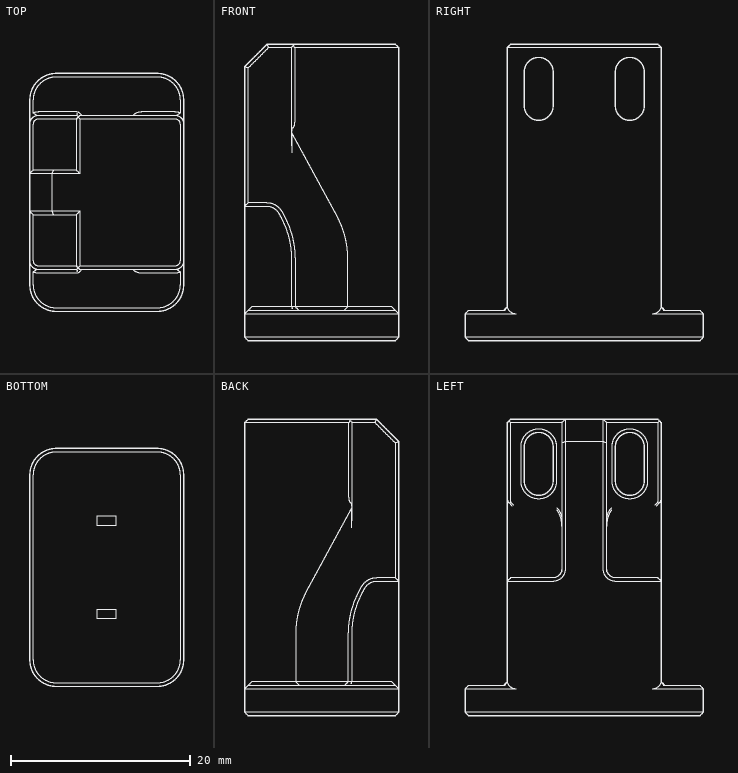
import cadquery as cq
import math

LENGTH = 17.2
BASE_WIDTH = 26.6
TOWER_WIDTH = 17.2
HEIGHT = 33.1
BASE_HEIGHT = 3.4
BASE_CORNER_RADIUS = 3.0
BEVEL = 0.4
BEVEL_ANGLE = 45
ROUND = 1.0

WEB_WIDTH = 5.0
NOSE_BEVEL = 2.5

UPPER_WALL_X = 5.2
LOWER_WALL_X = 11.5
BLOCK_WALL_X = 5.65
BLOCK_HEIGHT = 15.4
BEND_Z = 9.15
BEND_RADIUS = 10.0
BLOCK_TOP_RADIUS = 2.0
SLOPE = math.radians(28.5)

SLOT_WIDTH = 3.2
SLOT_HEIGHT = 7.0
SLOT_CENTER_Y = 5.08
SLOT_CENTER_Z = 28.1

FLOOR_HOLE_LENGTH = 2.1
FLOOR_HOLE_WIDTH = 1.05
FLOOR_HOLE_CENTER_Y = 5.2

SIDE_Y = TOWER_WIDTH / 2
WEB_Y = WEB_WIDTH / 2
TOWER_BOTTOM = BEVEL
TOLERANCE = 0.01
SIDES = (-1, 1)


def bend_point(wall_x, radius, center_z, angle):
    """Point on an arc that leaves the vertical wall at center_z and leans toward -X."""
    return (
        wall_x - radius * (1 - math.cos(angle)),
        center_z + radius * math.sin(angle),
    )


BLOCK_BEND_END = bend_point(BLOCK_WALL_X, BEND_RADIUS, BEND_Z, SLOPE)
WALL_BEND_END = bend_point(LOWER_WALL_X, BEND_RADIUS, BEND_Z, SLOPE)
KINK_Z = WALL_BEND_END[1] + (WALL_BEND_END[0] - UPPER_WALL_X) / math.tan(SLOPE)

KINK_SETBACK = BEVEL * math.tan(SLOPE / 2)

TOP_ROUND_Z = BLOCK_HEIGHT - BLOCK_TOP_RADIUS
TOP_ROUND_END_Z = TOP_ROUND_Z + BLOCK_TOP_RADIUS * math.sin(SLOPE)
TOP_ROUND_END_X = BLOCK_BEND_END[0] - (TOP_ROUND_END_Z - BLOCK_BEND_END[1]) * math.tan(SLOPE)
TOP_ROUND_X = TOP_ROUND_END_X - BLOCK_TOP_RADIUS * math.cos(SLOPE)
HALFWAY_UP = (math.pi / 2 + SLOPE) / 2


def pick(shape, accept):
    """Edges of the shape whose midpoint passes the test."""
    chosen = [e for e in shape.edges().vals() if accept(e.positionAt(0.5))]
    return shape.newObject(chosen)


def near(a, b):
    """Whether two coordinates agree."""
    return abs(a - b) < TOLERANCE


def make_channel():
    """Cutter for the channel on the +Y side, with rounded inner edges below the upper wall."""
    outline = (
        cq.Workplane("XZ", origin=(0, WEB_Y, 0))
        .moveTo(0, BLOCK_HEIGHT)
        .lineTo(TOP_ROUND_X, BLOCK_HEIGHT)
        .threePointArc(
            (
                TOP_ROUND_X + BLOCK_TOP_RADIUS * math.cos(HALFWAY_UP),
                TOP_ROUND_Z + BLOCK_TOP_RADIUS * math.sin(HALFWAY_UP),
            ),
            (TOP_ROUND_END_X, TOP_ROUND_END_Z),
        )
        .lineTo(*BLOCK_BEND_END)
        .threePointArc(
            bend_point(BLOCK_WALL_X, BEND_RADIUS, BEND_Z, SLOPE / 2),
            (BLOCK_WALL_X, BEND_Z),
        )
        .lineTo(BLOCK_WALL_X, TOWER_BOTTOM)
        .lineTo(LOWER_WALL_X, TOWER_BOTTOM)
        .lineTo(LOWER_WALL_X, BEND_Z)
        .threePointArc(
            bend_point(LOWER_WALL_X, BEND_RADIUS, BEND_Z, SLOPE / 2),
            WALL_BEND_END,
        )
        .lineTo(UPPER_WALL_X, KINK_Z)
        .lineTo(UPPER_WALL_X, HEIGHT)
        .lineTo(0, HEIGHT)
        .close()
    )
    channel = outline.extrude(-(SIDE_Y - WEB_Y))

    def is_rounded(p):
        on_web = near(p.y, WEB_Y)
        at_wall = TOWER_BOTTOM + TOLERANCE < p.z < KINK_Z
        return on_web and at_wall and p.x > TOLERANCE

    return pick(channel, is_rounded).fillet(ROUND)


def make_tower():
    """Square tower with a channel in each Y side and a sloped nose on the web between them."""
    tower = cq.Workplane("XY", origin=(LENGTH / 2, 0, TOWER_BOTTOM)).box(
        LENGTH, TOWER_WIDTH, HEIGHT - TOWER_BOTTOM, centered=(True, True, False)
    )
    channel = make_channel()
    tower = tower.cut(channel).cut(channel.mirror("XZ"))
    nose = (
        cq.Workplane("XZ")
        .polyline([(0, HEIGHT - NOSE_BEVEL), (NOSE_BEVEL, HEIGHT), (0, HEIGHT)])
        .close()
        .extrude(SIDE_Y, both=True)
    )
    return bevel_tower(round_tower(tower.cut(nose)))


def round_tower(tower):
    """Rounds the four upright corners and the outer edges of the channels' far walls."""

    def is_rounded(p):
        on_side = near(abs(p.y), SIDE_Y)
        upright_corner = near(p.x, 0) or near(p.x, LENGTH)
        far_wall = TOWER_BOTTOM + TOLERANCE < p.z < KINK_Z and p.x > BLOCK_WALL_X + TOLERANCE
        return on_side and (upright_corner or far_wall)

    return pick(tower, is_rounded).fillet(ROUND)


def bevel_tower(tower):
    """Bevels the top, the web's front and nose edges, the block's edges and the upper walls."""

    def is_bevelled(p):
        on_side = near(abs(p.y), SIDE_Y)
        top = near(p.z, HEIGHT) and not near(p.x, NOSE_BEVEL)
        nose = near(p.x, NOSE_BEVEL / 2) and near(abs(p.y), WEB_Y)
        along_block = ROUND + TOLERANCE < p.x < BLOCK_WALL_X + TOLERANCE
        beside_block = TOWER_BOTTOM + TOLERANCE < p.z < BLOCK_HEIGHT + TOLERANCE
        block = on_side and along_block and beside_block
        above_block = BLOCK_HEIGHT - TOLERANCE < p.z < HEIGHT - NOSE_BEVEL - TOLERANCE
        front = p.x < ROUND and above_block
        return top or nose or block or front

    def is_upper_wall_edge(p):
        return near(abs(p.y), SIDE_Y) and near(p.x, UPPER_WALL_X)

    tower = pick(tower, is_bevelled).chamfer(BEVEL)
    tower = pick(tower, is_upper_wall_edge).chamfer(KINK_SETBACK)
    for side in SIDES:
        tower = tower.cut(make_upper_wedge(side))
    return tower


def make_upper_wedge(side):
    """Cutter that bevels the upper wall's outer edge and runs out on the round below it."""
    edge_y = side * SIDE_Y
    return (
        cq.Workplane("XY", origin=(0, 0, KINK_Z - ROUND))
        .polyline(
            [
                (UPPER_WALL_X, edge_y),
                (UPPER_WALL_X + BEVEL, edge_y),
                (UPPER_WALL_X, edge_y - side * BEVEL),
            ]
        )
        .close()
        .extrude(HEIGHT - KINK_Z + ROUND)
    )


def cut_slots(tower):
    """Cuts the two round-ended slots along X and bevels their rims on the upper walls."""
    slots = (
        cq.Workplane("YZ")
        .pushPoints([(side * SLOT_CENTER_Y, SLOT_CENTER_Z) for side in SIDES])
        .slot2D(SLOT_HEIGHT, SLOT_WIDTH, 90)
        .extrude(LENGTH)
    )
    tower = tower.cut(slots)

    def is_rim(p):
        in_slot = abs(abs(p.y) - SLOT_CENTER_Y) < SLOT_WIDTH / 2 + TOLERANCE
        beside = abs(p.z - SLOT_CENTER_Z) < SLOT_HEIGHT / 2 + TOLERANCE
        return near(p.x, UPPER_WALL_X) and in_slot and beside

    return pick(tower, is_rim).chamfer(BEVEL)


def make_foot(tower):
    """Sloped skirt where the tower meets the base, kept behind the slope of the base's bevel."""
    footprint = tower.faces("<Z").wires().val()
    skirt = (
        cq.Workplane("XY", origin=(0, 0, BASE_HEIGHT))
        .add(footprint.translate(cq.Vector(0, 0, BASE_HEIGHT - TOWER_BOTTOM)))
        .toPending()
        .offset2D(BEVEL)
        .extrude(BEVEL, taper=BEVEL_ANGLE)
    )
    limits = (
        cq.Workplane("XY", origin=(LENGTH / 2, 0, BASE_HEIGHT - BEVEL))
        .rect(LENGTH, BASE_WIDTH)
        .extrude(2 * BEVEL, taper=BEVEL_ANGLE)
    )
    return skirt.intersect(limits)


def cut_floor_holes(part):
    """Cuts the rectangular hole through each channel floor, midway between the block and the wall."""
    floor_x = (BLOCK_WALL_X + LOWER_WALL_X) / 2
    holes = (
        cq.Workplane("XY")
        .pushPoints([(floor_x, side * FLOOR_HOLE_CENTER_Y) for side in SIDES])
        .rect(FLOOR_HOLE_LENGTH, FLOOR_HOLE_WIDTH)
        .extrude(BASE_HEIGHT)
    )
    return part.cut(holes)


def make_base():
    """Round-cornered base plate, bevelled above and below."""
    base = cq.Workplane("XY", origin=(LENGTH / 2, 0, 0)).box(
        LENGTH, BASE_WIDTH, BASE_HEIGHT, centered=(True, True, False)
    )
    base = base.edges("|Z").fillet(BASE_CORNER_RADIUS)
    return base.faces("<Z or >Z").chamfer(BEVEL)


tower = cut_slots(make_tower())
result = cut_floor_holes(make_base().union(tower).union(make_foot(tower)))